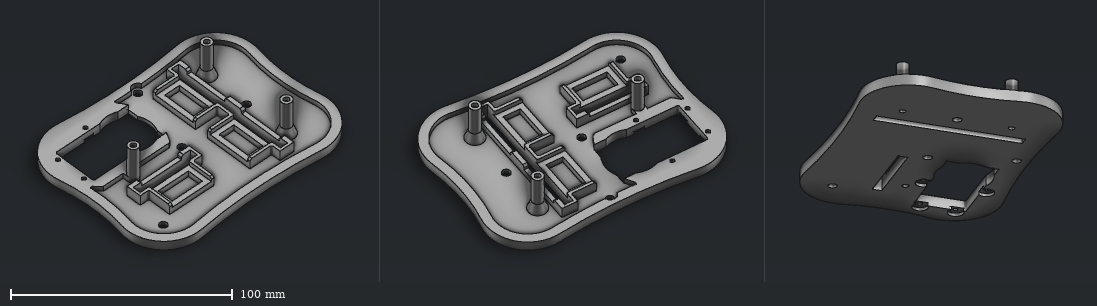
import cadquery as cq
import math

PLATE_LENGTH = 125.1
PLATE_WIDTH = 95.0
PLATE_HEIGHT = 5.5
CORNER_RADIUS = 22.5
CORNER_X = PLATE_WIDTH / 2 - CORNER_RADIUS
CORNER_Y = PLATE_LENGTH / 2 - CORNER_RADIUS
WAIST_DIP = 2.5

RIM_WIDTH = 5.0
FLOOR_Z = 2.5

WINDOW_X = -21.8
WINDOW_WIDTH = 24.9
WINDOW_TOP = -5.6
WINDOW_BOTTOM = -50.9
WINDOW_CORNER_RADIUS = 0.8
BULGE_Y = -17.6
BULGE_RADIUS = 13.6

PAD_LEFT_Y = -8.5
PAD_LEFT_SLOPE_RUN = 4.6
PAD_RIGHT_X = -3.5
PAD_SHOULDER_Y = -8.4
PAD_SHOULDER_BEVEL_X = 0.8
PAD_SHOULDER_BEVEL_Y = 1.1
PAD_FOOT_Y = -50.5
PAD_FOOT_BEVEL = 3.5

SCREW_RADIUS = 1.1
SCREW_HEAD_RADIUS = 3.8
SCREW_HEAD_DEPTH = 1.6
SIDE_SCREW_SPREAD = 15.0
SIDE_SCREW_Y = -29.9
FOOT_SCREW_SPREAD = 8.5
FOOT_SCREW_Y = -53.3

PLAIN_HOLE_RADIUS = 2.1
EDGE_HOLE = (-39.0, 5.0)
PLAIN_HOLES = [(0, 35.4), (0, -5.0), (31.0, -46.0), EDGE_HOLE]
EDGE_HOLE_RELIEF = 3.4

POST_TOP = 23.5
POST_RADIUS = 3.0
POST_BORE_RADIUS = 1.5
FLARED_POSTS = [(-26.0, 35.4), (26.0, 35.4)]
FLARE_TOP = 7.9
FLARE_RADIUS = 5.0
PLAIN_POST = (0, -35.2)

LEDGE_Z = 5.9
HOLDER_TOP = 8.4
RAIL_DEPTH = 8.6
BACK_THICKNESS = 2.5
SLOT_DEPTH = 4.5
SLOT_END_WALL = 1.5
BAY_PITCH = 35.5
BAY_END = 22.1
BAY_INNER_WIDTH = 24.4
BAY_WALL = 1.6
RECESS_LENGTH = 18.8
RECESS_START = 10.0
RECESS_DEPTH = 9.1
WALL_CORNER_RADIUS = 1.0
WALL_END_CHAMFER = 1.1
WIDE_HOLDER_BACK = (0, 29.5)
NARROW_HOLDER_BACK = (6.0, -25.5)


def concave_radius(half_span, dip):
    """Radius of the concave arc that touches both corner circles and dips in the middle."""
    return (half_span**2 - 2 * dip * CORNER_RADIUS + dip**2) / (2 * dip)


def plate_outline(inset):
    """Plate outline moved inwards by inset, drawn as eight tangent arcs."""
    corner = CORNER_RADIUS - inset
    end_radius = concave_radius(CORNER_X, WAIST_DIP)
    side_radius = concave_radius(CORNER_Y, WAIST_DIP)
    end_mid_y = PLATE_LENGTH / 2 - WAIST_DIP - inset
    side_mid_x = PLATE_WIDTH / 2 - WAIST_DIP - inset
    diagonal = corner * math.sqrt(0.5)

    end_lean = math.asin(CORNER_X / (end_radius + CORNER_RADIUS))
    side_lean = math.asin(CORNER_Y / (side_radius + CORNER_RADIUS))
    end_x = CORNER_X - corner * math.sin(end_lean)
    end_y = CORNER_Y + corner * math.cos(end_lean)
    side_x = CORNER_X + corner * math.cos(side_lean)
    side_y = CORNER_Y - corner * math.sin(side_lean)
    corner_mid = (CORNER_X + diagonal, CORNER_Y + diagonal)

    return (
        cq.Workplane("XY")
        .moveTo(-end_x, end_y)
        .threePointArc((0, end_mid_y), (end_x, end_y))
        .threePointArc(corner_mid, (side_x, side_y))
        .threePointArc((side_mid_x, 0), (side_x, -side_y))
        .threePointArc((corner_mid[0], -corner_mid[1]), (end_x, -end_y))
        .threePointArc((0, -end_mid_y), (-end_x, -end_y))
        .threePointArc((-corner_mid[0], -corner_mid[1]), (-side_x, -side_y))
        .threePointArc((-side_mid_x, 0), (-side_x, side_y))
        .threePointArc((-corner_mid[0], corner_mid[1]), (-end_x, end_y))
        .close()
    )


def box(x_min, x_max, y_min, y_max, z_min, z_max):
    """Upright block between the given limits."""
    size = (x_max - x_min, y_max - y_min, z_max - z_min)
    return cq.Workplane("XY").box(*size, centered=False).translate((x_min, y_min, z_min))


def cylinder(centre, radius, z_min, z_max):
    """Upright cylinder between two heights."""
    return cq.Workplane("XY", origin=(*centre, z_min)).circle(radius).extrude(z_max - z_min)


def window_pad():
    """Solid area left standing in the pocket, with a tab reaching the plain post."""
    left = WINDOW_X - WINDOW_WIDTH / 2
    right = WINDOW_X + WINDOW_WIDTH / 2
    pad = (
        cq.Workplane("XY")
        .polyline(
            [
                (-PLATE_WIDTH / 2, PAD_LEFT_Y),
                (left - PAD_LEFT_SLOPE_RUN, PAD_LEFT_Y),
                (left, WINDOW_TOP),
                (right, WINDOW_TOP),
                (PAD_RIGHT_X - PAD_SHOULDER_BEVEL_X, PAD_SHOULDER_Y),
                (PAD_RIGHT_X, PAD_SHOULDER_Y - PAD_SHOULDER_BEVEL_Y),
                (PAD_RIGHT_X, PAD_FOOT_Y),
                (PAD_RIGHT_X - PAD_FOOT_BEVEL, PAD_FOOT_Y - PAD_FOOT_BEVEL),
                (PAD_RIGHT_X - PAD_FOOT_BEVEL, -PLATE_LENGTH / 2),
                (-PLATE_WIDTH / 2, -PLATE_LENGTH / 2),
            ]
        )
        .close()
        .extrude(PLATE_HEIGHT)
    )
    post_x, post_y = PLAIN_POST
    tab = box(PAD_RIGHT_X, post_x, post_y - POST_RADIUS, post_y + POST_RADIUS, 0, PLATE_HEIGHT)
    return pad.union(tab)


def window_cut():
    """Through opening of the window."""
    rectangle = box(
        WINDOW_X - WINDOW_WIDTH / 2, WINDOW_X + WINDOW_WIDTH / 2, WINDOW_BOTTOM, WINDOW_TOP, 0, PLATE_HEIGHT
    )
    rectangle = rectangle.edges("|Z and <Y").fillet(WINDOW_CORNER_RADIUS)
    return rectangle.union(cylinder((WINDOW_X, BULGE_Y), BULGE_RADIUS, 0, PLATE_HEIGHT))


def plate():
    """Plate with its pocket, window and holes."""
    pocket = plate_outline(RIM_WIDTH).extrude(PLATE_HEIGHT).translate((0, 0, FLOOR_Z))
    pocket = pocket.cut(window_pad())
    body = plate_outline(0).extrude(PLATE_HEIGHT).cut(pocket)
    body = body.cut(cylinder(EDGE_HOLE, EDGE_HOLE_RELIEF, FLOOR_Z, PLATE_HEIGHT))
    body = body.cut(window_cut())
    for centre in PLAIN_HOLES:
        body = body.cut(cylinder(centre, PLAIN_HOLE_RADIUS, 0, PLATE_HEIGHT))
    for side in (-1, 1):
        for spread, y in ((SIDE_SCREW_SPREAD, SIDE_SCREW_Y), (FOOT_SCREW_SPREAD, FOOT_SCREW_Y)):
            centre = (WINDOW_X + side * spread, y)
            body = body.cut(cylinder(centre, SCREW_RADIUS, 0, PLATE_HEIGHT))
            body = body.cut(cylinder(centre, SCREW_HEAD_RADIUS, 0, SCREW_HEAD_DEPTH))
    return body


def post_flare(centre):
    """Cone that widens a post towards the floor."""
    return (
        cq.Workplane("XY", origin=(*centre, FLOOR_Z))
        .circle(FLARE_RADIUS)
        .workplane(offset=FLARE_TOP - FLOOR_Z)
        .circle(POST_RADIUS)
        .loft()
    )


def slot(bay_count, z_min):
    """Space of the slot along the rail of a holder, from z_min to the top of the holder."""
    half_length = bay_count * BAY_PITCH / 2
    slot_back = -BACK_THICKNESS
    return box(-half_length, half_length, slot_back - SLOT_DEPTH, slot_back, z_min, HOLDER_TOP)


def round_bay_corners(body, bay_centres, half_width, y, z):
    """Round the upright edges where the two sides of each bay meet the rail."""
    for x in bay_centres:
        for side in (-1, 1):
            edge = cq.selectors.NearestToPointSelector((x + side * half_width, y, z))
            body = body.edges(edge).fillet(WALL_CORNER_RADIUS)
    return body


def holder(bay_count):
    """Switch holder with the middle of its back at the origin and its bays towards -Y."""
    bay_centres = [(i - (bay_count - 1) / 2) * BAY_PITCH for i in range(bay_count)]
    rail_half = bay_count * BAY_PITCH / 2 + SLOT_END_WALL
    slot_back = -BACK_THICKNESS
    slot_front = slot_back - SLOT_DEPTH
    inner_half = BAY_INNER_WIDTH / 2
    outer_half = inner_half + BAY_WALL

    body = box(-rail_half, rail_half, -RAIL_DEPTH, 0, FLOOR_Z, HOLDER_TOP)
    for x in bay_centres:
        body = body.union(box(x - outer_half, x + outer_half, -BAY_END, 0, FLOOR_Z, HOLDER_TOP))
    body = round_bay_corners(body, bay_centres, outer_half, -RAIL_DEPTH, (FLOOR_Z + HOLDER_TOP) / 2)

    body = body.faces("<Y").edges(">Z").chamfer(WALL_END_CHAMFER)

    space = slot(bay_count, LEDGE_Z)
    for x in bay_centres:
        space = space.union(box(x - inner_half, x + inner_half, -BAY_END, slot_back, LEDGE_Z, HOLDER_TOP))
    space = round_bay_corners(space, bay_centres, inner_half, slot_front, (LEDGE_Z + HOLDER_TOP) / 2)
    body = body.cut(space)

    bevel_z = HOLDER_TOP - WALL_END_CHAMFER
    for x in bay_centres:
        gap = (
            cq.Workplane("XZ", origin=(x, 0, 0))
            .polyline(
                [
                    (-inner_half, LEDGE_Z),
                    (inner_half, LEDGE_Z),
                    (inner_half, bevel_z),
                    (inner_half + WALL_END_CHAMFER, HOLDER_TOP),
                    (-inner_half - WALL_END_CHAMFER, HOLDER_TOP),
                    (-inner_half, bevel_z),
                ]
            )
            .close()
            .extrude(BACK_THICKNESS)
        )
        recess = box(
            x - RECESS_LENGTH / 2,
            x + RECESS_LENGTH / 2,
            -RECESS_START - RECESS_DEPTH,
            -RECESS_START,
            FLOOR_Z,
            LEDGE_Z,
        )
        body = body.cut(gap).cut(recess)
    return body


def place(shape, turn, back):
    """Turn a holder shape about Z and move the middle of its back into position."""
    return shape.rotate((0, 0, 0), (0, 0, 1), turn).translate((*back, 0))


result = plate()

for centre in FLARED_POSTS:
    result = result.union(post_flare(centre))
for centre in FLARED_POSTS + [PLAIN_POST]:
    result = result.union(cylinder(centre, POST_RADIUS, FLOOR_Z, POST_TOP))
    result = result.cut(cylinder(centre, POST_BORE_RADIUS, 0, POST_TOP))

for bay_count, turn, back in ((2, 0, WIDE_HOLDER_BACK), (1, 90, NARROW_HOLDER_BACK)):
    result = result.union(place(holder(bay_count), turn, back))
    result = result.cut(place(slot(bay_count, 0), turn, back))